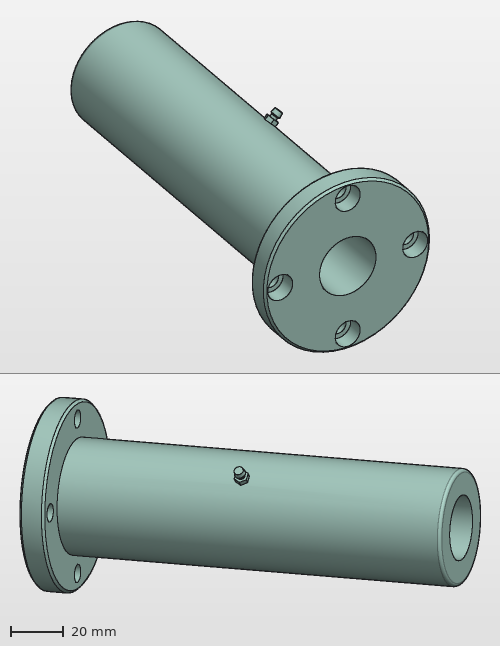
import cadquery as cq
import math

total_length = 165.0
flange_thickness = 10.0
flange_diameter = 74.0
tube_diameter = 45.0
bore_diameter = 25.0
tube_end_fillet = 1.3
flange_chamfer = 1.0

hole_count = 4
hole_circle_diameter = 60.0
hole_diameter = 7.0
counterbore_diameter = 11.0
counterbore_depth = 7.0

nipple_x = total_length / 2
nipple_tilt = 45.0
nipple_embed_depth = 1.6
nipple_root_height = tube_diameter / 2 - nipple_embed_depth
hex_across_flats = 5.0
hex_top_height = 24.5
neck_radius = 1.5
neck_top_height = 25.5
head_radius = 2.1
head_rim_height = 26.0
tip_radius = 1.8
tip_height = 28.2


def make_sleeve():
    """Tube and round flange with a rounded tube end, chamfered flange rims and a through bore."""
    tube = (
        cq.Workplane("YZ")
        .circle(tube_diameter / 2)
        .extrude(total_length)
        .faces("<X")
        .edges()
        .fillet(tube_end_fillet)
    )
    flange = (
        cq.Workplane("YZ", origin=(total_length - flange_thickness, 0, 0))
        .circle(flange_diameter / 2)
        .extrude(flange_thickness)
        .edges()
        .chamfer(flange_chamfer)
    )
    bore = cq.Workplane("YZ").circle(bore_diameter / 2).extrude(total_length)
    return tube.union(flange).cut(bore)


def cut_mounting_holes(body):
    """Counterbored holes equally spaced around the flange."""
    return (
        body.copyWorkplane(cq.Workplane("YZ", origin=(total_length, 0, 0)))
        .polarArray(hole_circle_diameter / 2, 0, 360, hole_count)
        .cboreHole(hole_diameter, counterbore_diameter, counterbore_depth, flange_thickness)
    )


def make_nipple():
    """Hexagonal base carrying a necked, tapered head, tilted about the sleeve axis."""
    corner_diameter = hex_across_flats / math.cos(math.pi / 6)
    base = (
        cq.Workplane("XY", origin=(0, 0, nipple_root_height))
        .transformed(rotate=(0, 0, 90))
        .polygon(6, corner_diameter)
        .extrude(hex_top_height - nipple_root_height)
    )
    head = (
        cq.Workplane("XZ")
        .moveTo(0, nipple_root_height)
        .lineTo(neck_radius, nipple_root_height)
        .lineTo(neck_radius, neck_top_height)
        .lineTo(head_radius, head_rim_height)
        .lineTo(tip_radius, tip_height)
        .lineTo(0, tip_height)
        .close()
        .revolve(360, (0, 0, 0), (0, 1, 0))
    )
    upright = base.union(head).translate((nipple_x, 0, 0))
    return upright.rotate((0, 0, 0), (1, 0, 0), -nipple_tilt)


result = cut_mounting_holes(make_sleeve()).union(make_nipple())